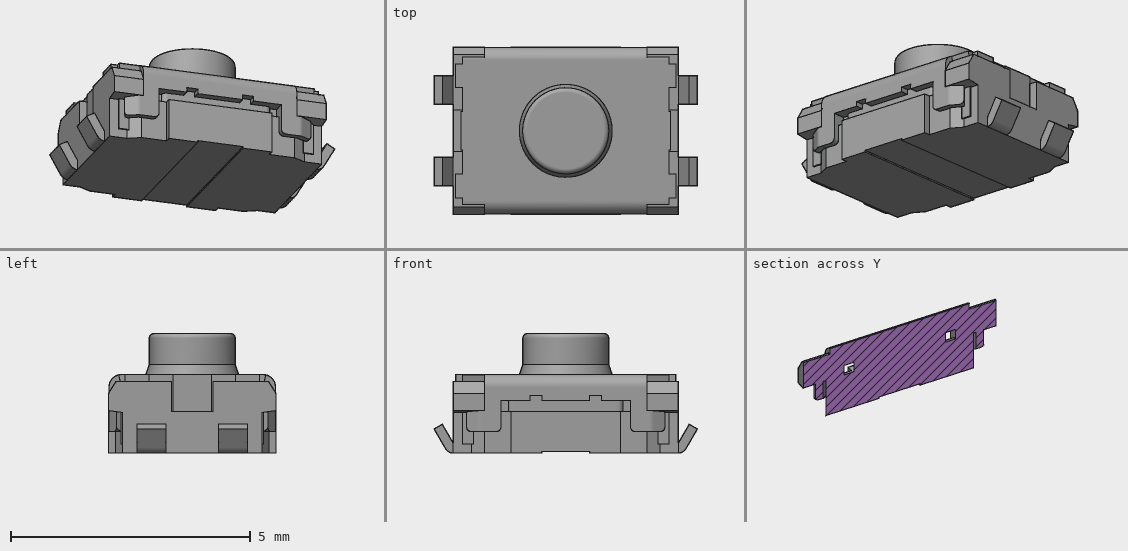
import cadquery as cq
import math


base_half_length = 2.35
base_half_width = 1.60
base_top = 1.50
end_half_width = 1.455
corner_inner_x = 1.70
corner_outer_x = 1.965

ear_half_width = 1.75
ear_chamfer_width = 0.16
ear_chamfer_height = 0.25
ear_bottom_outer = 0.89
ear_bottom_inner = 0.85

block_half_length = 1.14
block_top = 0.873
relief_half_length = 0.50
relief_height = 0.035

pad_inner_x = 1.93
pad_bottom = 0.19
pad_depth = 0.035

lid_top = 1.645
lid_half_length = 2.157
lid_half_width = 1.74
lid_thickness = lid_half_width - base_half_width
lid_roll_radius = 0.265
lid_corner_half_width = 1.54
lid_tab_reach = 2.297
lid_tab_inner_y = 0.90
lid_tab_outer_y = 1.40

leg_inner_x = 1.354
leg_bend_x = 1.80
leg_end_x = 2.07
leg_end_y = 1.58
leg_bottom = 0.45
leg_corner_radius = 0.10
leg_bend_radius = 0.15

window_top = 1.096
window_notch_top = 1.20
window_notch_inner_x = 0.498
window_notch_outer_x = 0.742
window_wall_y = 1.55
window_wall_half_length = 1.20
window_wall_radius = 0.11

flap_reach = 2.19
flap_half_width = 0.40
groove_half_width = 0.43
groove_bottom = block_top

plunger_top = 2.50
plunger_radius = 0.90
plunger_edge_radius = 0.10
plunger_foot_radius = 0.97
plunger_foot_top = 1.85

terminal_reach = 2.75
terminal_tip_z = 0.507
terminal_thickness = 0.20
terminal_slope = math.radians(60)
terminal_outer_bend_radius = 0.20
terminal_inner_bend_radius = 0.07
terminal_width = 0.60
terminal_center_y = 0.85
terminal_root = 0.20


def box(x_min, x_max, y_min, y_max, z_min, z_max):
    size = (x_max - x_min, y_max - y_min, z_max - z_min)
    return cq.Workplane("XY").box(*size, centered=False).translate((x_min, y_min, z_min))


def centered_box(half_x, half_y, z_min, z_max):
    return box(-half_x, half_x, -half_y, half_y, z_min, z_max)


def on_two_ends(shape):
    return shape.union(shape.mirror("YZ"))


def on_two_sides(shape):
    return shape.union(shape.mirror("XZ"))


def on_four_corners(shape):
    return on_two_sides(on_two_ends(shape))


def make_base():
    corner = [
        (base_half_length, end_half_width),
        (corner_outer_x, end_half_width),
        (corner_inner_x, base_half_width),
    ]
    outline = (
        corner
        + [(-x, y) for x, y in reversed(corner)]
        + [(-x, -y) for x, y in corner]
        + [(x, -y) for x, y in reversed(corner)]
    )
    body = cq.Workplane("XY").polyline(outline).close().extrude(base_top)
    blocks = centered_box(block_half_length, ear_half_width, 0, block_top)
    return body.union(blocks)


def make_ears():
    profile = [
        (0, ear_bottom_inner),
        (end_half_width, ear_bottom_inner),
        (ear_half_width, ear_bottom_outer),
        (ear_half_width, base_top - ear_chamfer_height),
        (ear_half_width - ear_chamfer_width, base_top),
        (0, base_top),
    ]
    ear = cq.Workplane("YZ", origin=(corner_inner_x, 0, 0)).polyline(profile).close()
    return on_four_corners(ear.extrude(base_half_length - corner_inner_x))


def make_pads():
    pad = box(
        pad_inner_x, lid_half_length,
        end_half_width - pad_depth, end_half_width + pad_depth,
        pad_bottom, base_top - ear_chamfer_height,
    )
    return on_four_corners(pad)


def make_lid():
    rolled_sheet = (
        centered_box(lid_half_length, lid_half_width, window_top, lid_top)
        .edges("|X and >Z")
        .fillet(lid_roll_radius)
    )
    side_limits = centered_box(corner_inner_x, lid_half_width, window_top, lid_top)
    bend_axis_y = lid_half_width - lid_roll_radius
    bend_axis_z = lid_top - lid_roll_radius
    end_profile = [
        (bend_axis_y, bend_axis_z),
        (lid_corner_half_width, lid_top),
        (-lid_corner_half_width, lid_top),
        (-bend_axis_y, bend_axis_z),
    ]
    end_limits = cq.Workplane("YZ").polyline(end_profile).close().extrude(lid_half_length, both=True)
    sheet = rolled_sheet.intersect(side_limits.union(end_limits))
    tab = box(0, lid_tab_reach, lid_tab_inner_y, lid_tab_outer_y, base_top, lid_top)
    return sheet.union(on_four_corners(tab))


def make_legs():
    bend_angle = math.atan2(lid_half_width - leg_end_y, leg_end_x - leg_bend_x)
    normal_x = math.sin(bend_angle)
    normal_y = math.cos(bend_angle)
    inner_bend_x = leg_bend_x - lid_thickness * math.tan(bend_angle / 2)
    outline = [
        (leg_inner_x, lid_half_width),
        (leg_bend_x, lid_half_width),
        (leg_end_x, leg_end_y),
        (leg_end_x - lid_thickness * normal_x, leg_end_y - lid_thickness * normal_y),
        (inner_bend_x, base_half_width),
        (leg_inner_x, base_half_width),
    ]
    top = base_top - ear_chamfer_height
    strip = cq.Workplane("XY", origin=(0, 0, leg_bottom)).polyline(outline).close()
    strip = strip.extrude(top - leg_bottom)
    bend_edge = cq.selectors.NearestToPointSelector((leg_bend_x, lid_half_width, (top + leg_bottom) / 2))
    strip = strip.edges(bend_edge).fillet(leg_bend_radius)
    silhouette = (
        box(leg_inner_x, leg_end_x, end_half_width - lid_thickness, lid_half_width, leg_bottom, top)
        .edges("|Y and <Z")
        .fillet(leg_corner_radius)
    )
    return on_four_corners(strip.intersect(silhouette))


def make_windows():
    opening = box(-leg_inner_x, leg_inner_x, 0, lid_half_width, block_top, window_top)
    wall = (
        box(-window_wall_half_length, window_wall_half_length, 0, window_wall_y, block_top, window_top)
        .edges("|Z and >Y")
        .fillet(window_wall_radius)
    )
    backing = box(
        -leg_inner_x, leg_inner_x, 0, window_wall_y - window_wall_radius, block_top, window_top
    )
    opening = opening.cut(wall).cut(backing)
    notch = box(
        window_notch_inner_x, window_notch_outer_x, window_wall_y, lid_half_width, window_top, window_notch_top
    )
    return on_two_sides(opening.union(on_two_ends(notch)))


def make_grooves():
    groove = box(
        lid_half_length, base_half_length, -groove_half_width, groove_half_width, groove_bottom, base_top
    )
    return on_two_ends(groove)


def make_flaps():
    flap = box(lid_half_length, flap_reach, -flap_half_width, flap_half_width, groove_bottom, lid_top)
    return on_two_ends(flap)


def make_plunger():
    shaft_top = plunger_top - plunger_edge_radius
    crown_radius = plunger_radius - plunger_edge_radius
    profile = (
        cq.Workplane("XZ")
        .moveTo(0, base_top)
        .lineTo(plunger_foot_radius, base_top)
        .lineTo(plunger_foot_radius, lid_top)
        .lineTo(plunger_radius, plunger_foot_top)
        .lineTo(plunger_radius, shaft_top)
        .radiusArc((crown_radius, plunger_top), -plunger_edge_radius)
        .lineTo(0, plunger_top)
        .close()
    )
    return profile.revolve(360, (0, 0, 0), (0, 1, 0))


def make_terminals():
    slope = math.tan(terminal_slope)
    inner_tip_x = terminal_reach - terminal_thickness * math.sin(terminal_slope)
    inner_tip_z = terminal_tip_z + terminal_thickness * math.cos(terminal_slope)
    heel_x = terminal_reach - terminal_tip_z / slope
    inner_heel_x = inner_tip_x - (inner_tip_z - terminal_thickness) / slope
    root_x = base_half_length - terminal_root
    profile = [
        (root_x, 0),
        (heel_x, 0),
        (terminal_reach, terminal_tip_z),
        (inner_tip_x, inner_tip_z),
        (inner_heel_x, terminal_thickness),
        (root_x, terminal_thickness),
    ]
    start_y = terminal_center_y + terminal_width / 2
    terminal = cq.Workplane("XZ", origin=(0, start_y, 0)).polyline(profile).close().extrude(terminal_width)
    heel_edge = cq.selectors.NearestToPointSelector((heel_x, terminal_center_y, 0))
    inner_heel = (inner_heel_x, terminal_center_y, terminal_thickness)
    inner_heel_edge = cq.selectors.NearestToPointSelector(inner_heel)
    terminal = terminal.edges(heel_edge).fillet(terminal_outer_bend_radius)
    terminal = terminal.edges(inner_heel_edge).fillet(terminal_inner_bend_radius)
    return on_four_corners(terminal)


bottom_relief = centered_box(relief_half_length, ear_half_width, 0, relief_height)

result = make_base().union(make_ears()).union(make_lid()).union(make_legs()).union(make_pads())
result = result.cut(make_windows()).cut(make_grooves()).cut(bottom_relief)
result = result.union(make_flaps()).union(make_plunger()).union(make_terminals())